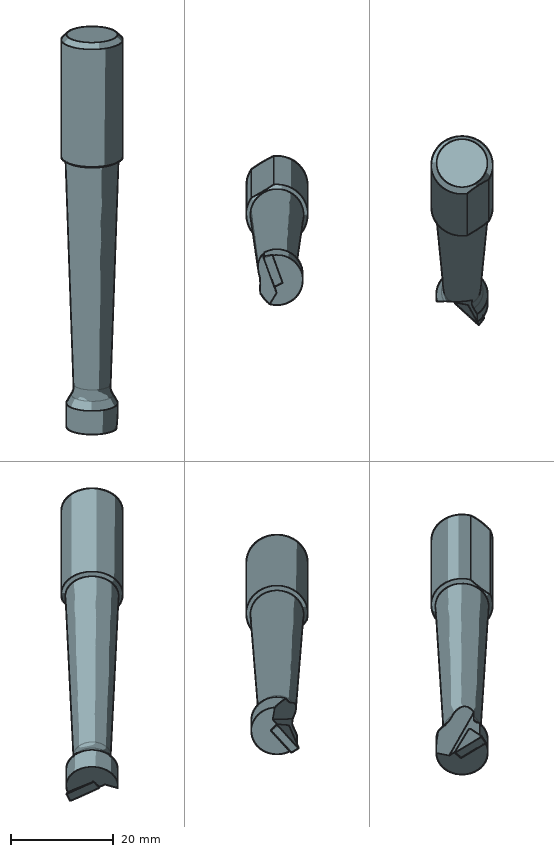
import cadquery as cq
import math

TOTAL_LENGTH = 81.0
SHANK_RADIUS = 6.0
SHANK_BOTTOM = 55.9
TOP_CHAMFER = 1.05
FLAT_OFFSET = 5.4

NECK_TOP_Z = 55.4
NECK_TOP_RADIUS = 5.2
NECK_BOTTOM_Z = 9.4
NECK_BOTTOM_RADIUS = 3.65

HEAD_RADIUS = 5.0
HEAD_TOP_Z = 5.5
HEAD_BOTTOM_Z = 0.65
FLARE_TOP_Z = 7.2
FLARE_ANGLE = 30.0
FLARE_TOP_RADIUS = HEAD_RADIUS - (FLARE_TOP_Z - HEAD_TOP_Z) * math.tan(math.radians(FLARE_ANGLE))

TIP_X = -5.5
TIP_Y = -0.2
INSERT_EDGE = 6.9
INSERT_CORNER_ANGLE = 60.0
INSERT_TILT = 3.0
INSERT_THICKNESS = 1.8
INSERT_CLEARANCE = 7.0
NOSE_RADIUS = 0.25

WALL_YAW = 12.0
FLOOR_POINT = (1.7, 0, 0)
FLOOR_NORMAL = (-1, 0.54, -0.5)
CUT_SIZE = 48.6

yaw = math.radians(WALL_YAW)
wall_direction = (math.cos(yaw), math.sin(yaw), 0)
wall_inward = (math.sin(yaw), -math.cos(yaw), 0)
wall_outward = (-math.sin(yaw), math.cos(yaw), 0)
nose_center = (TIP_X + NOSE_RADIUS, TIP_Y, NOSE_RADIUS)


def make_turned_body():
    """Shank, neck and head as one revolved profile."""
    return (
        cq.Workplane("XZ")
        .moveTo(0, HEAD_BOTTOM_Z)
        .lineTo(HEAD_RADIUS, HEAD_BOTTOM_Z)
        .lineTo(HEAD_RADIUS, HEAD_TOP_Z)
        .lineTo(FLARE_TOP_RADIUS, FLARE_TOP_Z)
        .tangentArcPoint((NECK_BOTTOM_RADIUS, NECK_BOTTOM_Z), relative=False)
        .lineTo(NECK_TOP_RADIUS, NECK_TOP_Z)
        .lineTo(SHANK_RADIUS, SHANK_BOTTOM)
        .lineTo(SHANK_RADIUS, TOTAL_LENGTH - TOP_CHAMFER)
        .lineTo(SHANK_RADIUS - TOP_CHAMFER, TOTAL_LENGTH)
        .lineTo(0, TOTAL_LENGTH)
        .close()
        .revolve(360, (0, 0), (0, 1))
    )


def make_flat_cutter():
    """Block that leaves the clamping flat along the whole shank."""
    return (
        cq.Workplane("XY", origin=(-FLAT_OFFSET, 0, NECK_TOP_Z))
        .box(SHANK_RADIUS, 2 * SHANK_RADIUS, TOTAL_LENGTH, centered=(False, True, False))
        .translate((-SHANK_RADIUS, 0, 0))
    )


def make_chip_pocket():
    """Space in front of the wall and outside the sloping floor."""
    wall_plane = cq.Plane(origin=nose_center, xDir=wall_direction, normal=wall_outward)
    floor_plane = cq.Plane(origin=FLOOR_POINT, normal=FLOOR_NORMAL)
    wall_side = cq.Workplane(wall_plane).rect(CUT_SIZE, CUT_SIZE).extrude(CUT_SIZE)
    floor_side = cq.Workplane(floor_plane).rect(CUT_SIZE, CUT_SIZE).extrude(CUT_SIZE)
    return wall_side.intersect(floor_side)


def make_insert():
    """Equilateral plate with rounded corners, narrowing from its cutting face into the head."""
    edge = INSERT_EDGE - 2 * math.sqrt(3) * NOSE_RADIUS
    low_angle = math.radians(INSERT_TILT)
    high_angle = math.radians(INSERT_TILT + INSERT_CORNER_ANGLE)
    low_corner = (edge * math.cos(low_angle), edge * math.sin(low_angle))
    high_corner = (edge * math.cos(high_angle), edge * math.sin(high_angle))
    face_plane = cq.Plane(origin=nose_center, xDir=wall_direction, normal=wall_inward)
    return (
        cq.Workplane(face_plane)
        .polyline([(0, 0), low_corner, high_corner])
        .close()
        .offset2D(NOSE_RADIUS)
        .extrude(INSERT_THICKNESS, taper=INSERT_CLEARANCE)
    )


insert = make_insert()
holder = make_turned_body().cut(make_flat_cutter()).cut(make_chip_pocket()).cut(insert).solids()

result = cq.Compound.makeCompound([holder.val(), insert.val()])